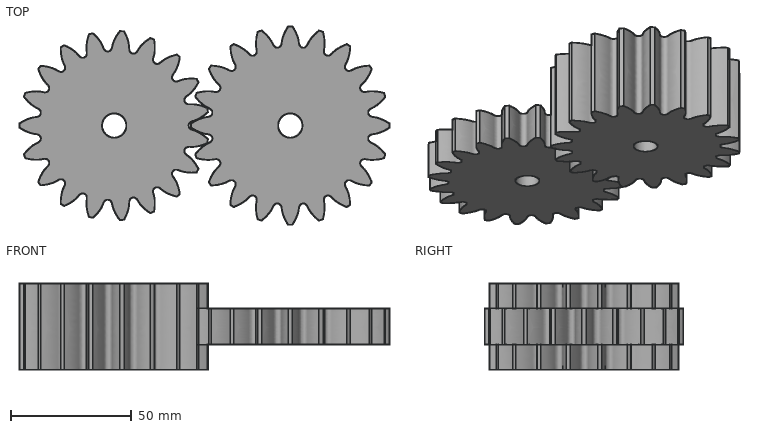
import cadquery as cq
import math

overall_length = 153.8
wide_teeth = 19
thin_teeth = 20
wide_width = 36.0
thin_width = 15.0
bore_diameter = 10.0

pressure_angle = math.radians(25)
addendum_factor = 1.0
dedendum_factor = 1.25
cutter_rounding_factor = 0.3
tooth_thinning_factor = 0.03
curve_steps = 6

module = overall_length / (wide_teeth + thin_teeth + 2 * addendum_factor)
center_distance = module * (wide_teeth + thin_teeth) / 2
addendum = addendum_factor * module
dedendum = dedendum_factor * module
tooth_thickness = (math.pi / 2 - tooth_thinning_factor) * module

cutter_rounding = cutter_rounding_factor * module
rounding_depth = dedendum - cutter_rounding
rack_half_thickness = (math.pi * module - tooth_thickness) / 2
rounding_offset = (
    rack_half_thickness
    - rounding_depth * math.tan(pressure_angle)
    - cutter_rounding / math.cos(pressure_angle)
)


def involute_angle(radius, base_radius):
    """Angle swept by an involute from its base circle out to the given radius."""
    roll = math.sqrt((radius / base_radius) ** 2 - 1)
    return roll - math.atan(roll)


def root_curve(pitch_radius):
    """Fillet left by the rolling rack corner, from the root circle up to the flank.

    Each point is a radius and an angle from the middle of the gap.
    """
    longest_reach = rounding_depth / math.tan(pressure_angle)
    points = []
    for i in range(curve_steps + 1):
        reach = longest_reach * i / curve_steps
        stretch = 1 + cutter_rounding / math.hypot(reach, rounding_depth)
        sideways = reach * stretch
        upward = pitch_radius - rounding_depth * stretch
        roll_angle = (rounding_offset - reach) / pitch_radius
        points.append((math.hypot(sideways, upward), roll_angle + math.atan2(sideways, upward)))
    return points


def flank_curve(pitch_radius, start_radius):
    """Involute from the root fillet to the tip, as radius and angle from the tooth's middle."""
    base_radius = pitch_radius * math.cos(pressure_angle)
    half_base = tooth_thickness / (2 * pitch_radius) + involute_angle(pitch_radius, base_radius)
    flank_height = pitch_radius + addendum - start_radius
    points = []
    for i in range(curve_steps + 1):
        radius = start_radius + flank_height * i / curve_steps
        points.append((radius, half_base - involute_angle(radius, base_radius)))
    return points


def gear_outline(teeth, first_gap_angle):
    """Closed outline of a gear, one smooth curve per gap and one arc per tip, around the origin."""
    pitch_radius = module * teeth / 2
    tip_radius = pitch_radius + addendum
    half_pitch = math.pi / teeth

    root = root_curve(pitch_radius)
    flank = flank_curve(pitch_radius, root[-1][0])
    gap_side = root + [(radius, half_pitch - angle) for radius, angle in flank[1:]]
    half_gap_at_tip = gap_side[-1][1]

    def place(radius, angle):
        return (radius * math.cos(angle), radius * math.sin(angle))

    outline = cq.Workplane("XY").moveTo(*place(tip_radius, first_gap_angle - half_gap_at_tip))
    for gap in range(teeth):
        middle = first_gap_angle + 2 * half_pitch * gap
        tooth_middle = middle + half_pitch
        next_gap_start = middle + 2 * half_pitch - half_gap_at_tip
        falling = [place(radius, middle - angle) for radius, angle in reversed(gap_side)]
        rising = [place(radius, middle + angle) for radius, angle in gap_side]
        outline = outline.spline(falling[1:] + rising, includeCurrent=True)
        outline = outline.threePointArc(place(tip_radius, tooth_middle), place(tip_radius, next_gap_start))
    return outline.close()


def make_gear(teeth, width, first_gap_angle):
    """Spur gear on the Z axis with a plain through bore."""
    profile = gear_outline(teeth, first_gap_angle).moveTo(0, 0).circle(bore_diameter / 2)
    return profile.extrude(width).translate((0, 0, -width / 2))


wide_gap_angle = 0
thin_gap_angle = math.pi - math.pi / thin_teeth
wide_gear = make_gear(wide_teeth, wide_width, wide_gap_angle)
thin_gear = make_gear(thin_teeth, thin_width, thin_gap_angle).translate((center_distance, 0, 0))

result = cq.Compound.makeCompound([wide_gear.val(), thin_gear.val()])